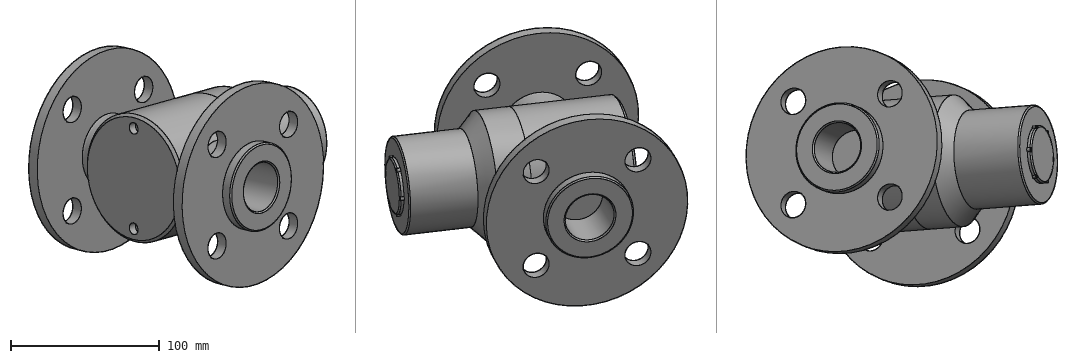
import cadquery as cq

OVERALL_X = 157.01
BACK_Y = 117.13

BODY_DIA = 89.0
HOUSING_FRONT_Y = -42.0
HOUSING_BACK_Y = 31.4
HOUSING_CHAMFER = 2.0
SPANNER_HOLE_DIA = 7.94
SPANNER_HOLE_OFFSET = 35.0
SPANNER_HOLE_DEPTH = 6.0

NECK_DIA = 67.0
CONE_START_Y = 55.3
CONE_LENGTH = (BODY_DIA - NECK_DIA) / 2
KNOB_HEIGHT = 3.0
BONNET_BACK_Y = BACK_Y - KNOB_HEIGHT
NECK_CHAMFER = 1.0

KNOB_DIA = 39.0
KNOB_CHAMFER = 1.0
GRIP_COUNT = 6
GRIP_RADIUS = 1.5
GRIP_PITCH_RADIUS = 19.0
GRIP_HEIGHT = 2.5

PIPE_DIA = 50.0
SEAT_DIA = 51.0
SEAT_TAPER = 1.6
COLLAR_DIA = 61.0
COLLAR_THICKNESS = 7.5
COLLAR_CHAMFER = 1.0
BORE_DIA = 34.0
BORE_CHAMFER = 1.0
BORE_DEPTH = 32.0

FLANGE_DIA = 140.0
FLANGE_THICKNESS = 8.0
FLANGE_GAP = 0.5
BOLT_HOLE_DIA = 18.0
BOLT_CIRCLE_DIA = 100.0
BOLT_COUNT = 4

END_X = OVERALL_X / 2
COLLAR_INNER_X = END_X - COLLAR_THICKNESS
FLANGE_OUTER_X = COLLAR_INNER_X - FLANGE_GAP
FLANGE_INNER_X = FLANGE_OUTER_X - FLANGE_THICKNESS


def plane_facing_y(y):
    """Plane across the body axis at y, with its normal along +Y and its local x along X."""
    return cq.Plane(origin=(0, y, 0), xDir=(1, 0, 0), normal=(0, 1, 0))


def plane_facing_x(x):
    """Plane across the pipe axis at x, with its normal along +X and its local x along Z."""
    return cq.Plane(origin=(x, 0, 0), xDir=(0, 0, 1), normal=(1, 0, 0))


def make_housing():
    blank = (
        cq.Workplane(plane_facing_y(HOUSING_FRONT_Y))
        .circle(BODY_DIA / 2)
        .extrude(HOUSING_BACK_Y - HOUSING_FRONT_Y)
        .faces("<Y")
        .chamfer(HOUSING_CHAMFER)
    )
    spanner_holes = (
        cq.Workplane(plane_facing_y(HOUSING_FRONT_Y))
        .pushPoints([(0, SPANNER_HOLE_OFFSET), (0, -SPANNER_HOLE_OFFSET)])
        .circle(SPANNER_HOLE_DIA / 2)
        .extrude(SPANNER_HOLE_DEPTH)
    )
    return blank.cut(spanner_holes)


def make_bonnet():
    profile = [
        (0, HOUSING_BACK_Y),
        (BODY_DIA / 2, HOUSING_BACK_Y),
        (BODY_DIA / 2, CONE_START_Y),
        (NECK_DIA / 2, CONE_START_Y + CONE_LENGTH),
        (NECK_DIA / 2, BONNET_BACK_Y - NECK_CHAMFER),
        (NECK_DIA / 2 - NECK_CHAMFER, BONNET_BACK_Y),
        (0, BONNET_BACK_Y),
    ]
    return cq.Workplane("XY").polyline(profile).close().revolve(360, (0, 0, 0), (0, 1, 0))


def make_knob():
    """Chamfered disc with round grips standing out around its rim."""
    disc = (
        cq.Workplane(plane_facing_y(BONNET_BACK_Y))
        .circle(KNOB_DIA / 2)
        .extrude(KNOB_HEIGHT)
        .faces(">Y")
        .chamfer(KNOB_CHAMFER)
    )
    grips = (
        cq.Workplane(plane_facing_y(BONNET_BACK_Y))
        .polarArray(GRIP_PITCH_RADIUS, 0, 360, GRIP_COUNT)
        .circle(GRIP_RADIUS)
        .extrude(GRIP_HEIGHT)
    )
    return disc.union(grips)


def make_stub():
    """Pipe with an end collar on the +X side, ending on the round wall of the housing."""
    profile = [
        (0, 0),
        (0, PIPE_DIA / 2),
        (FLANGE_INNER_X - SEAT_TAPER, PIPE_DIA / 2),
        (FLANGE_INNER_X, SEAT_DIA / 2),
        (COLLAR_INNER_X, SEAT_DIA / 2),
        (COLLAR_INNER_X, COLLAR_DIA / 2),
        (END_X - COLLAR_CHAMFER, COLLAR_DIA / 2),
        (END_X, COLLAR_DIA / 2 - COLLAR_CHAMFER),
        (END_X, BORE_DIA / 2 + BORE_CHAMFER),
        (END_X - BORE_CHAMFER, BORE_DIA / 2),
        (END_X - BORE_DEPTH, BORE_DIA / 2),
        (END_X - BORE_DEPTH, 0),
    ]
    turned = cq.Workplane("XZ").polyline(profile).close().revolve(360, (0, 0, 0), (1, 0, 0))
    body_wall = (
        cq.Workplane(plane_facing_y(HOUSING_FRONT_Y))
        .circle(BODY_DIA / 2)
        .extrude(HOUSING_BACK_Y - HOUSING_FRONT_Y)
    )
    return turned.cut(body_wall)


def make_flange():
    """Loose flange on the +X side, its bolt holes straddling the Y and Z axes."""
    bolt_holes = (
        cq.Workplane(plane_facing_x(FLANGE_INNER_X))
        .polarArray(BOLT_CIRCLE_DIA / 2, 180 / BOLT_COUNT, 360, BOLT_COUNT)
        .circle(BOLT_HOLE_DIA / 2)
        .extrude(FLANGE_THICKNESS)
    )
    ring = (
        cq.Workplane(plane_facing_x(FLANGE_INNER_X))
        .circle(FLANGE_DIA / 2)
        .circle(SEAT_DIA / 2)
        .extrude(FLANGE_THICKNESS)
    )
    return ring.cut(bolt_holes)


housing = make_housing()
bonnet = make_bonnet()
knob = make_knob()

pipe_ends = []
for turn in (0, 180):
    for part in (make_stub(), make_flange()):
        pipe_ends.append(part.rotate((0, 0, 0), (0, 0, 1), turn).val())

result = cq.Compound.makeCompound([housing.val(), bonnet.val(), knob.val(), *pipe_ends])